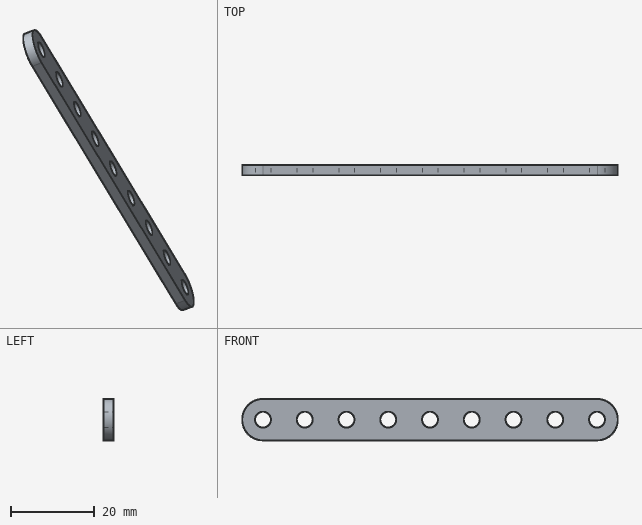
import cadquery as cq

bar_width = 10.0
bar_thickness = 2.5
hole_count = 9
hole_pitch = 10.0
hole_diameter = 3.75

hole_span = (hole_count - 1) * hole_pitch
bar_length = hole_span + bar_width


def make_bar():
    """Round-ended bar lying along X, with its thickness centred on Y."""
    return (
        cq.Workplane("XZ", origin=(0, bar_thickness / 2, 0))
        .slot2D(bar_length, bar_width)
        .extrude(bar_thickness)
    )


def drill_hole_row(bar):
    """Drill an evenly pitched row of through holes along the bar's centreline."""
    row_count = 1
    return (
        bar.faces("<Y")
        .workplane(centerOption="CenterOfBoundBox")
        .rarray(hole_pitch, bar_width, hole_count, row_count)
        .hole(hole_diameter)
    )


result = drill_hole_row(make_bar())